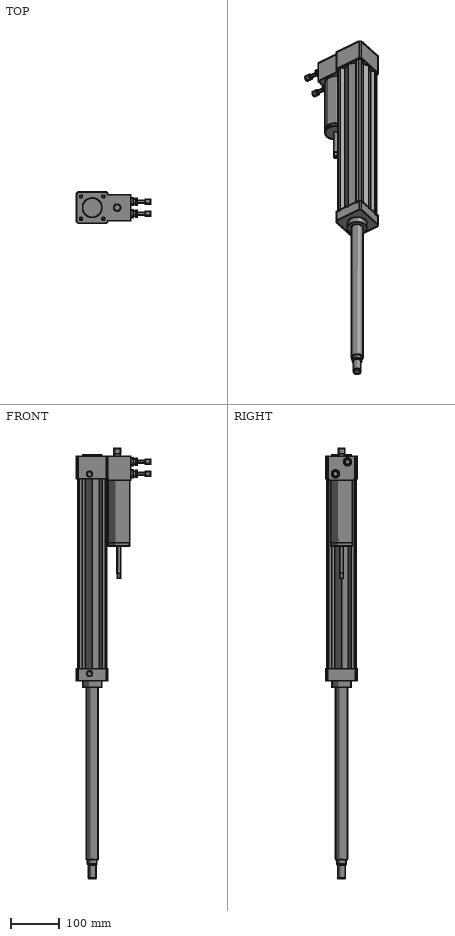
import cadquery as cq


TOTAL_LENGTH = 891.0
TOTAL_WIDTH = 153.0

HEAD_TOP = 875.0
HEAD_BOTTOM = 829.0
CAP_TOP = 435.0
CAP_BOTTOM = 410.0
COLLAR_BOTTOM = 396.5

BLOCK_SIDE = 65.0
BLOCK_CHAMFER = 4.0
BOLT_HOLE_DIAMETER = 6.0
BOLT_HOLE_DEPTH = 4.5
BOLT_OFFSET = 23.0
COVER_DIAMETER = 40.0
COVER_HEIGHT = 3.0
COLLAR_DIAMETER = 40.0

PORT_DIAMETER = 12.0
PORT_DEPTH = 4.5
PORT_X = -5.0
HEAD_PORT_Z = 838.0
CAP_PORT_Z = 425.0

CORE_SIDES = 8
TUBE_SIDE = 61.0
RIB_INNER = 20.5
RIB_CHAMFER = 4.0
RIB_COUNT = 4

ROD_DIAMETER = 25.0
ROD_END = 39.0
ROD_BEVEL_RADIAL = 1.0
ROD_BEVEL_LENGTH = 4.0
NECK_DIAMETER = 20.0
NECK_TAPER_TOP = 31.0
NECK_END = 28.5
TIP_DIAMETER = 16.0
TIP_BEVEL_RADIAL = 1.0
TIP_BEVEL_LENGTH = 3.0

ARM_WIDTH = 54.0
ARM_END_X = 80.0
ARM_BOTTOM = 825.0
MOTOR_X = 55.0
MOTOR_DIAMETER = 45.0
MOTOR_BOTTOM = 689.0
MOTOR_RIM_HEIGHT = 7.0
MOTOR_RIM_DIAMETER = 44.5
MOTOR_RIM_CHAMFER = 1.0
CABLE_DIAMETER = 8.0
CABLE_BOTTOM = 622.0
CABLE_TIP_DIAMETER = 7.0
CABLE_TIP_LENGTH = 11.0

PLUG_X = 52.0
PLUG_NECK_DIAMETER = 13.0
PLUG_HEAD_DIAMETER = 14.0
PLUG_HEAD_HEIGHT = 11.0

CONNECTOR_END_X = TOTAL_WIDTH - BLOCK_SIDE / 2
CONNECTOR_OFFSET = 12.5
CONNECTOR_MID_Z = 851.0
FLANGE_DIAMETER = 16.0
FLANGE_LENGTH = 4.5
GAP_DIAMETER = 12.0
GAP_LENGTH = 5.0
NUT_DIAMETER = 14.0
NUT_LENGTH = 4.0
STEM_DIAMETER = 6.0
KNOB_DIAMETER = 11.0
KNOB_LENGTH = 11.0


def upright_cylinder(x, diameter, bottom, top):
    """Cylinder along Z, centred on the symmetry plane Y = 0."""
    return cq.Workplane("XY", origin=(x, 0, bottom)).circle(diameter / 2).extrude(top - bottom)


def chamfered_block(bottom, top):
    """Square block on the rod axis with its upright edges chamfered."""
    block = cq.Workplane("XY", origin=(0, 0, bottom)).rect(BLOCK_SIDE, BLOCK_SIDE).extrude(top - bottom)
    return block.edges("|Z").chamfer(BLOCK_CHAMFER)


def port(z):
    """Cone that cuts a port into the -Y face of a block."""
    mouth = cq.Vector(PORT_X, -BLOCK_SIDE / 2, z)
    inward = cq.Vector(0, 1, 0)
    return cq.Workplane(cq.Solid.makeCone(PORT_DIAMETER / 2, 0, PORT_DEPTH, mouth, inward))


def make_tube():
    """Octagonal core with a rib at each corner; the rib flanks meet the core at 45 degrees to X and Y."""
    half = TUBE_SIDE / 2
    height = HEAD_BOTTOM - CAP_TOP
    base = cq.Workplane("XY", origin=(0, 0, CAP_TOP))
    rib_outline = [
        (0, 0),
        (half - RIB_INNER, 0),
        (half, RIB_INNER),
        (half, half - RIB_CHAMFER),
        (half - RIB_CHAMFER, half),
        (RIB_INNER, half),
        (0, half - RIB_INNER),
    ]
    rib = base.polyline(rib_outline).close().extrude(height)
    body = base.polygon(CORE_SIDES, TUBE_SIDE).extrude(height)
    for i in range(RIB_COUNT):
        body = body.union(rib.rotate((0, 0, 0), (0, 0, 1), i * 360 / RIB_COUNT))
    return body


def make_front_cap():
    """Square cap with a round collar where the rod comes out."""
    cap = chamfered_block(CAP_BOTTOM, CAP_TOP)
    cap = cap.union(upright_cylinder(0, COLLAR_DIAMETER, COLLAR_BOTTOM, CAP_BOTTOM))
    return cap.cut(port(CAP_PORT_Z))


def make_rod():
    """Rod turned about Z, from the collar face down to a necked tip."""
    rod_radius = ROD_DIAMETER / 2
    neck_radius = NECK_DIAMETER / 2
    tip_radius = TIP_DIAMETER / 2
    half_profile = [
        (0, COLLAR_BOTTOM),
        (rod_radius, COLLAR_BOTTOM),
        (rod_radius, ROD_END + ROD_BEVEL_LENGTH),
        (rod_radius - ROD_BEVEL_RADIAL, ROD_END),
        (neck_radius, ROD_END),
        (neck_radius, NECK_TAPER_TOP),
        (tip_radius, NECK_END),
        (tip_radius, TIP_BEVEL_LENGTH),
        (tip_radius - TIP_BEVEL_RADIAL, 0),
        (0, 0),
    ]
    return cq.Workplane("XZ").polyline(half_profile).close().revolve(360, (0, 0, 0), (0, 1, 0))


def make_motor():
    """Motor hanging under the arm, with its cable below."""
    rim_top = MOTOR_BOTTOM + MOTOR_RIM_HEIGHT
    cable_tip_top = CABLE_BOTTOM + CABLE_TIP_LENGTH
    rim = upright_cylinder(MOTOR_X, MOTOR_RIM_DIAMETER, MOTOR_BOTTOM, rim_top)
    motor = upright_cylinder(MOTOR_X, MOTOR_DIAMETER, rim_top, ARM_BOTTOM)
    motor = motor.union(rim.faces("<Z").chamfer(MOTOR_RIM_CHAMFER))
    motor = motor.union(upright_cylinder(MOTOR_X, CABLE_DIAMETER, cable_tip_top, MOTOR_BOTTOM))
    return motor.union(upright_cylinder(MOTOR_X, CABLE_TIP_DIAMETER, CABLE_BOTTOM, cable_tip_top))


def make_plug():
    """Stepped round plug on top of the arm."""
    head_bottom = TOTAL_LENGTH - PLUG_HEAD_HEIGHT
    neck = upright_cylinder(PLUG_X, PLUG_NECK_DIAMETER, HEAD_TOP, head_bottom)
    return neck.union(upright_cylinder(PLUG_X, PLUG_HEAD_DIAMETER, head_bottom, TOTAL_LENGTH))


def make_connector(y, z):
    """Stepped connector growing along +X from the end of the arm."""
    nut_end = ARM_END_X + FLANGE_LENGTH + GAP_LENGTH + NUT_LENGTH
    stem_length = CONNECTOR_END_X - KNOB_LENGTH - nut_end
    base = cq.Workplane("YZ", origin=(ARM_END_X, y, z))
    connector = base.circle(FLANGE_DIAMETER / 2).extrude(FLANGE_LENGTH)
    further_steps = [
        (GAP_DIAMETER, GAP_LENGTH),
        (NUT_DIAMETER, NUT_LENGTH),
        (STEM_DIAMETER, stem_length),
        (KNOB_DIAMETER, KNOB_LENGTH),
    ]
    for diameter, length in further_steps:
        connector = connector.faces(">X").workplane().circle(diameter / 2).extrude(length)
    return connector


def arm_block(start, bottom, top):
    """Block from the given X to the end of the arm."""
    length = ARM_END_X - start
    base = cq.Workplane("XY", origin=(start + length / 2, 0, bottom))
    return base.rect(length, ARM_WIDTH).extrude(top - bottom)


def make_arm():
    """Arm that joins the head behind its corner chamfers and has a lip below it, clear of the tube."""
    side_face = BLOCK_SIDE / 2
    beam = arm_block(side_face - BLOCK_CHAMFER, HEAD_BOTTOM, HEAD_TOP)
    return beam.union(arm_block(side_face, ARM_BOTTOM, HEAD_BOTTOM))


def bolt_holes():
    """Four blind holes in the corners of the head's top face."""
    top = cq.Workplane("XY", origin=(0, 0, HEAD_TOP))
    corners = top.rect(2 * BOLT_OFFSET, 2 * BOLT_OFFSET, forConstruction=True).vertices()
    return corners.circle(BOLT_HOLE_DIAMETER / 2).extrude(-BOLT_HOLE_DEPTH)


def make_drive_head():
    """Head block with its arm, motor, plug and connectors in one piece."""
    head = chamfered_block(HEAD_BOTTOM, HEAD_TOP).union(make_arm())
    head = head.union(upright_cylinder(0, COVER_DIAMETER, HEAD_TOP, HEAD_TOP + COVER_HEIGHT))
    head = head.cut(bolt_holes()).cut(port(HEAD_PORT_Z))
    head = head.union(make_motor()).union(make_plug())
    for side in (-1, 1):
        offset = side * CONNECTOR_OFFSET
        head = head.union(make_connector(offset, CONNECTOR_MID_Z + offset))
    return head


drive_head = make_drive_head()
tube = make_tube()
front_cap = make_front_cap()
rod = make_rod()

result = cq.Compound.makeCompound([drive_head.val(), tube.val(), front_cap.val(), rod.val()])